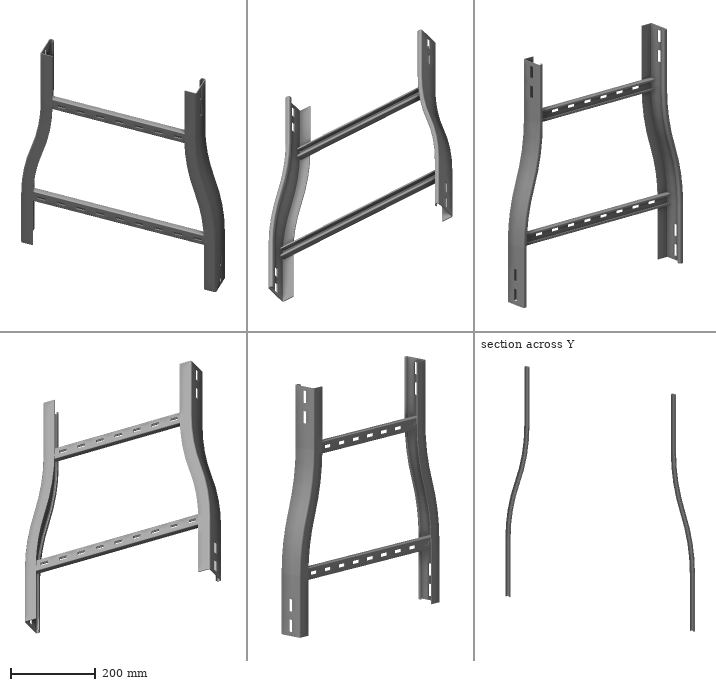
import cadquery as cq
import math

wide_width = 500.0
narrow_width = 400.0
height = 600.0
depth = 60.0
bend_half_height = 150.0

rail_sheet = 2.0
rail_bend_radius = 4.0
front_flange = 31.0
back_flange = 12.0
lip_length = 9.0

rail_slot_length = 30.0
rail_slot_width = 10.0
rail_slot_end_distances = (25.0, 75.0)

rung_height = 30.0
rung_depth = 15.0
rung_sheet = 1.5
rung_bend_radius = 2.0
rung_lip_length = 6.0
rung_end_gap = 3.0
rung_z = 150.0
rung_slot_length = 20.0
rung_slot_width = 8.0
rung_slot_pitch = 50.0
rung_slot_shift = 2.5
narrow_rung_slots = 7
wide_rung_slots = 9

half_depth = depth / 2
half_height = height / 2
front_y = -half_depth
wide_x = -wide_width / 2
narrow_x = -narrow_width / 2


def rail_path():
    """Line, two opposed tangent arcs and a line, following the outer face of the left rail web."""
    side_step = (narrow_x - wide_x) / 2
    bend_angle = 2 * math.atan(side_step / bend_half_height)
    bend_radius = bend_half_height / math.sin(bend_angle)
    mid_rise = bend_radius * math.sin(bend_angle / 2)
    mid_step = bend_radius * (1 - math.cos(bend_angle / 2))
    return (
        cq.Workplane("XZ")
        .moveTo(wide_x, -half_height)
        .lineTo(wide_x, -bend_half_height)
        .threePointArc((wide_x + mid_step, mid_rise - bend_half_height), (wide_x + side_step, 0))
        .threePointArc((narrow_x - mid_step, bend_half_height - mid_rise), (narrow_x, bend_half_height))
        .lineTo(narrow_x, half_height)
    )


def make_left_rail():
    """Lipped channel swept along the rail path, open towards +X, with slots through its web."""
    outer, inner = rail_bend_radius, rail_bend_radius - rail_sheet
    lip_x = wide_x + back_flange
    lip_end_y = half_depth - lip_length
    profile = (
        cq.Workplane("XY", origin=(0, 0, -half_height))
        .moveTo(wide_x + front_flange, front_y)
        .lineTo(wide_x + outer, front_y)
        .radiusArc((wide_x, front_y + outer), outer)
        .lineTo(wide_x, half_depth - outer)
        .radiusArc((wide_x + outer, half_depth), outer)
        .lineTo(lip_x - outer, half_depth)
        .radiusArc((lip_x, half_depth - outer), outer)
        .lineTo(lip_x, lip_end_y)
        .lineTo(lip_x - rail_sheet, lip_end_y)
        .lineTo(lip_x - rail_sheet, half_depth - outer)
        .radiusArc((lip_x - outer, half_depth - rail_sheet), -inner)
        .lineTo(wide_x + outer, half_depth - rail_sheet)
        .radiusArc((wide_x + rail_sheet, half_depth - outer), -inner)
        .lineTo(wide_x + rail_sheet, front_y + outer)
        .radiusArc((wide_x + outer, front_y + rail_sheet), -inner)
        .lineTo(wide_x + front_flange, front_y + rail_sheet)
        .close()
    )
    rail = profile.sweep(rail_path())
    slot_centres = [
        (0, end * (half_height - distance))
        for end in (-1, 1)
        for distance in rail_slot_end_distances
    ]
    slots = (
        cq.Workplane("YZ", origin=(wide_x, 0, 0))
        .pushPoints(slot_centres)
        .rect(rail_slot_width, rail_slot_length)
        .extrude(narrow_x + rail_bend_radius - wide_x)
    )
    return rail.cut(slots)


def make_rung(outside_width, z, slot_count):
    """Lipped channel on the front flanges: slotted web in front, legs and lips towards the back."""
    length = outside_width - 2 * (rail_sheet + rung_end_gap)
    web_y = front_y + rail_sheet
    body = (
        cq.Workplane("XY", origin=(0, web_y, z))
        .box(length, rung_depth, rung_height, centered=(True, False, True))
        .edges("|X")
        .fillet(rung_bend_radius)
    )
    hollow = (
        cq.Workplane("XY", origin=(0, web_y + rung_sheet, z))
        .box(length, rung_depth - 2 * rung_sheet, rung_height - 2 * rung_sheet, centered=(True, False, True))
        .edges("|X")
        .fillet(rung_bend_radius - rung_sheet)
    )
    back_opening = cq.Workplane("XY", origin=(0, web_y + rung_depth / 2, z)).box(
        length, rung_depth, rung_height - 2 * rung_lip_length, centered=(True, False, True)
    )
    slots = (
        cq.Workplane("XZ", origin=(rung_slot_shift, web_y + rung_depth / 2, z))
        .rarray(rung_slot_pitch, 1, slot_count, 1)
        .rect(rung_slot_length, rung_slot_width)
        .extrude(rung_depth)
    )
    return body.cut(hollow).cut(back_opening).cut(slots)


left_rail = make_left_rail()
right_rail = left_rail.mirror("YZ")
narrow_rung = make_rung(narrow_width, rung_z, narrow_rung_slots)
wide_rung = make_rung(wide_width, -rung_z, wide_rung_slots)

result = cq.Compound.makeCompound(
    [left_rail.val(), right_rail.val(), narrow_rung.val(), wide_rung.val()]
)